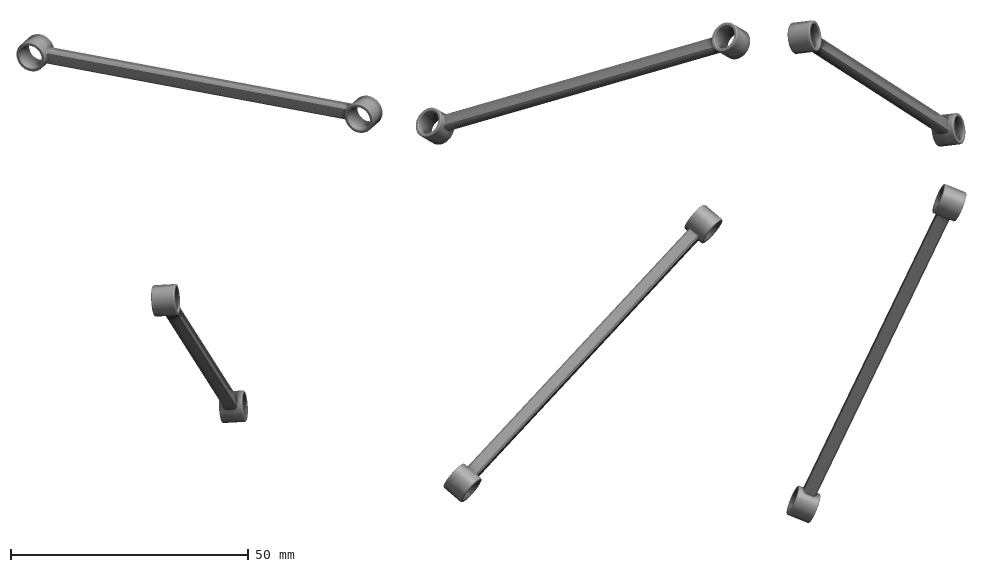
import cadquery as cq

overall_length = 82.8
ring_diameter = 6.6
ring_width = 5.05
bore_diameter = 5.05
rim_radius = 0.25
rod_width = 2.8
rod_height = 3.0
rod_edge_chamfer = 0.4
junction_radius = 0.25

ring_offset = (overall_length - ring_diameter) / 2
ring_centers = [(-ring_offset, 0), (ring_offset, 0)]


def cylinders_along_y(diameter):
    """Two cylinders on the ring axes, as wide as the rings."""
    return (
        cq.Workplane("XZ", origin=(0, ring_width / 2, 0))
        .pushPoints(ring_centers)
        .circle(diameter / 2)
        .extrude(ring_width)
    )


rod = (
    cq.Workplane("XY")
    .box(2 * ring_offset, rod_width, rod_height)
    .edges("|X")
    .chamfer(rod_edge_chamfer)
)

link = rod.union(cylinders_along_y(ring_diameter))

rod_zone = cq.selectors.BoxSelector(
    (-ring_offset, -rod_width, -rod_height),
    (ring_offset, rod_width, rod_height),
    boundingbox=True,
)
lengthwise_edges = cq.selectors.ParallelDirSelector(cq.Vector(1, 0, 0))
link = link.edges(rod_zone - lengthwise_edges).fillet(junction_radius)

link = link.cut(cylinders_along_y(bore_diameter))
result = link.faces("<Y or >Y").edges().fillet(rim_radius)